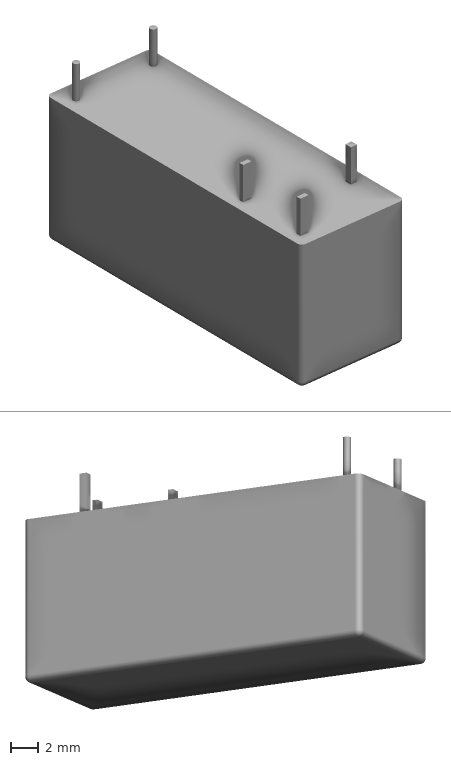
import cadquery as cq

case_length = 28.5
case_width = 10.1
total_height = 15.5
pin_height = 3.2
case_height = total_height - pin_height
edge_radius = 0.45

row_offset = 3.75
coil_pin_x = -12.4
coil_pin_diameter = 0.6
contact_pitch = 3.2
common_pin_x = 9.75
common_pin_size = 0.6
contact_pin_length = 0.4
contact_pin_width = 0.8


def make_case():
    box = cq.Workplane("XY").box(
        case_length, case_width, case_height, centered=(True, True, False)
    )
    return box.edges("|Z or <Z").fillet(edge_radius)


def pin_plane(points):
    return cq.Workplane("XY").workplane(offset=case_height).pushPoints(points)


def make_coil_pins():
    points = [(coil_pin_x, row_offset), (coil_pin_x, -row_offset)]
    return pin_plane(points).circle(coil_pin_diameter / 2).extrude(pin_height)


def make_common_pin():
    points = [(common_pin_x, row_offset)]
    return pin_plane(points).rect(common_pin_size, common_pin_size).extrude(pin_height)


def make_contact_pins():
    points = [(common_pin_x + side * contact_pitch, -row_offset) for side in (-1, 1)]
    return pin_plane(points).rect(contact_pin_length, contact_pin_width).extrude(pin_height)


result = make_case().union(make_coil_pins()).union(make_common_pin()).union(make_contact_pins())